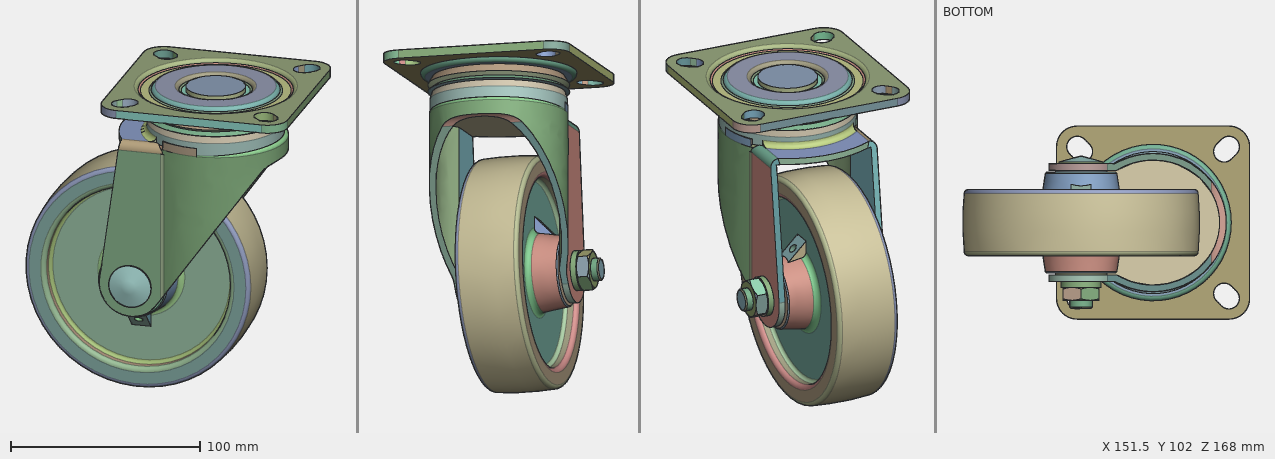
import cadquery as cq
import math


plate_side = 102.0
plate_thickness = 4.5
plate_corner_radius = 11.0
slot_width = 11.0
slot_pitch_near = 75.0
slot_pitch_far = 80.0

dish_depth = 2.5
dish_outer_radius = 43.8
dish_inner_radius = 31.3
pin_recess_radius = 22.2
pin_radius = 15.8
press_round = 2.8
press_bevel = 1.2
press_bevel_depth = 0.5
dish_underside_radius = 41.3
dish_underside_round = 2.4

seal_neck_radius = 35.0
seal_lip_radius = 37.5
seal_lip_z = -11.2
seal_waist_z = -13.0
seal_lower_lip_z = -14.9
seal_bottom_z = -15.5

wheel_radius = 62.5
wheel_width = 35.0
caster_trail = 38.0
total_height = 168.0
tread_round = 2.2
crown_height = 0.7

hub_half_length = 26.6
hub_end_radius = 18.9
hub_root_radius = 20.9
hub_root_fillet = 3.0
hub_edge_chamfer = 0.7
sleeve_radius = 13.6
web_half_thickness = 9.8
rim_lip_radius = 53.1
rim_lip_round = 2.6
rim_foot_fillet = 1.9

lug_width = 10.4
lug_reach = 29.5
lug_root_radius = 19.0
lug_hole_diameter = 4.6
lug_hole_depth = 4.0

sheet = 3.5
arm_inner_y = 27.6
arm_end_radius = 17.0
fork_top_z = -25.0
arm_front_x = -44.0
nose_front_x = -51.0
bend_radius = 4.6
crease_fillet = 4.0
head_radius = 36.4
head_top_radius = 35.3
head_shoulder_z = -19.2
head_fillet = 3.0
skirt_half_width = 36.5
skirt_half_length = 38.6
shoulder_top_z = -22.4
skirt_edge_round = 2.0
skirt_bottom_z = -34.4
skirt_corner_x = 33.7
skirt_corner_fillet = 9.8

bolt_radius = 6.0
bolt_tip_y = 45.2
bolt_tip_chamfer = 0.7
bolt_head_radius = 11.6
bolt_head_rim = 0.9
bolt_head_height = 4.1
nut_across_flats = 19.0
nut_thickness = 6.8
nut_flange_radius = 10.6
nut_flange_thickness = 3.1

axle_x = -caster_trail
axle_z = wheel_radius - total_height
arm_outer_y = arm_inner_y + sheet
fork_ceiling_z = fork_top_z - sheet
crease_x = -skirt_half_length * math.sqrt(1 - (arm_outer_y / skirt_half_width) ** 2)


def revolve_about_swivel(profile):
    """Turn a closed (radius, Z) profile about the swivel axis."""
    return profile.close().revolve(360, (0, 0, 0), (0, 1, 0))


def revolve_about_axle(profile):
    """Turn a closed profile, drawn as (radius, Y) from the axle line, about the axle."""
    turned = profile.close().revolve(360, (0, 0, 0), (0, 1, 0))
    return turned.translate((axle_x, 0, axle_z))


def axle_cylinder(radius, y_start, y_end):
    """Cylinder on the axle line between two Y places."""
    start = cq.Vector(axle_x, y_start, axle_z)
    return cq.Workplane(cq.Solid.makeCylinder(radius, y_end - y_start, start, cq.Vector(0, 1, 0)))


def wall_points(edge_radius, toward):
    """Points of one pressed wall: lip edge, lip middle, lip end and foot.

    The wall runs outwards from the lip edge if toward is +1, inwards if it is -1.
    """
    lip_drop = dish_depth - press_bevel_depth
    quarter_middle = math.sqrt(0.5)
    edge = (edge_radius, 0)
    lip_middle = (edge_radius + toward * press_round * quarter_middle, -lip_drop * (1 - quarter_middle))
    lip_end = (edge_radius + toward * press_round, -lip_drop)
    foot = (edge_radius + toward * (press_round + press_bevel), -dish_depth)
    return edge, lip_middle, lip_end, foot


def make_dish_cut():
    """Ring-shaped pressing around the raised middle of the plate."""
    outer_edge, outer_middle, outer_end, outer_foot = wall_points(dish_outer_radius, -1)
    inner_edge, inner_middle, inner_end, inner_foot = wall_points(dish_inner_radius, 1)
    return revolve_about_swivel(
        cq.Workplane("XZ")
        .moveTo(*outer_edge)
        .threePointArc(outer_middle, outer_end)
        .lineTo(*outer_foot)
        .lineTo(*inner_foot)
        .lineTo(*inner_end)
        .threePointArc(inner_middle, inner_edge)
    )


def make_pin_recess():
    """Ring-shaped recess around the kingpin head."""
    edge, lip_middle, lip_end, foot = wall_points(pin_recess_radius, -1)
    return revolve_about_swivel(
        cq.Workplane("XZ")
        .moveTo(*edge)
        .threePointArc(lip_middle, lip_end)
        .lineTo(*foot)
        .lineTo(pin_radius, -dish_depth)
        .lineTo(pin_radius, 0)
    )


def make_seal():
    dish_bottom_z = -plate_thickness - dish_depth
    return revolve_about_swivel(
        cq.Workplane("XZ")
        .moveTo(0, dish_bottom_z)
        .lineTo(seal_neck_radius, dish_bottom_z)
        .lineTo(seal_lip_radius, seal_lip_z)
        .lineTo(seal_neck_radius, seal_waist_z)
        .lineTo(seal_lip_radius, seal_lower_lip_z)
        .lineTo(head_top_radius, seal_bottom_z)
        .lineTo(0, seal_bottom_z)
    )


def make_plate():
    sheet_body = (
        cq.Workplane("XY")
        .rect(plate_side, plate_side)
        .extrude(-plate_thickness)
        .edges("|Z")
        .fillet(plate_corner_radius)
    )
    underside = (
        cq.Workplane("XY", origin=(0, 0, -plate_thickness))
        .circle(dish_underside_radius)
        .extrude(-dish_depth)
        .faces("<Z")
        .edges()
        .fillet(dish_underside_round)
    )
    plate = sheet_body.union(underside).union(make_seal())
    plate = plate.cut(make_dish_cut()).cut(make_pin_recess())

    slot_radius = (slot_pitch_near + slot_pitch_far) / 4 * math.sqrt(2)
    slot_length = (slot_pitch_far - slot_pitch_near) / 2 * math.sqrt(2) + slot_width
    for corner_angle in (45, 135, 225, 315):
        slot = (
            cq.Workplane("XY")
            .center(slot_radius, 0)
            .slot2D(slot_length, slot_width)
            .extrude(-plate_thickness)
            .rotate((0, 0, 0), (0, 0, 1), corner_angle)
        )
        plate = plate.cut(slot)
    return plate


def plan_block(half_width, half_length, arm_half_width, top_z):
    """Fork plan extruded down: a straight front joined to an elliptical skirt about the swivel."""
    front = (
        cq.Workplane("XY", origin=(0, 0, top_z))
        .rect(total_height, 2 * arm_half_width)
        .extrude(-total_height)
        .translate((-total_height / 2, 0, 0))
    )
    skirt = (
        cq.Workplane("XY", origin=(0, 0, top_z))
        .ellipse(half_length, half_width)
        .extrude(-total_height)
    )
    return front, skirt


def tangent_point(x, z, side):
    """Point where a line from (x, z) touches the round arm end; side is +1 or -1."""
    dx = x - axle_x
    dz = z - axle_z
    angle = math.atan2(dz, dx) + side * math.acos(arm_end_radius / math.hypot(dx, dz))
    return axle_x + arm_end_radius * math.cos(angle), axle_z + arm_end_radius * math.sin(angle)


def make_side_outline():
    """Side outline of the fork below its top face, wide enough in Y for the whole fork."""
    rear_x = skirt_half_length + sheet
    return (
        cq.Workplane("XZ")
        .moveTo(arm_front_x, fork_top_z)
        .lineTo(*tangent_point(arm_front_x, fork_top_z, 1))
        .threePointArc(
            (axle_x, axle_z - arm_end_radius),
            tangent_point(skirt_corner_x, skirt_bottom_z, -1),
        )
        .lineTo(skirt_corner_x, skirt_bottom_z)
        .lineTo(rear_x, skirt_bottom_z)
        .lineTo(rear_x, fork_top_z)
        .close()
        .extrude(plate_side / 2, both=True)
        .edges(cq.selectors.NearestToPointSelector((skirt_corner_x, 0, skirt_bottom_z)))
        .fillet(skirt_corner_fillet)
    )


def make_fork_head():
    """Round head between the seal and the fork top."""
    return revolve_about_swivel(
        cq.Workplane("XZ")
        .moveTo(0, seal_bottom_z)
        .lineTo(head_top_radius, seal_bottom_z)
        .lineTo(head_radius, head_shoulder_z)
        .lineTo(head_radius, fork_ceiling_z)
        .lineTo(0, fork_ceiling_z)
    )


def make_head_flare():
    """Concave fillet from the head down onto the flat front of the fork top."""
    centre_radius = head_radius + head_fillet
    middle = head_fillet * math.sqrt(0.5)
    flare = revolve_about_swivel(
        cq.Workplane("XZ")
        .moveTo(head_radius, fork_top_z)
        .lineTo(head_radius, fork_top_z + head_fillet)
        .threePointArc(
            (centre_radius - middle, fork_top_z + head_fillet - middle),
            (centre_radius, fork_top_z),
        )
    )
    front_width = 2 * (arm_outer_y - bend_radius)
    front = (
        cq.Workplane("XY", origin=(0, 0, fork_top_z))
        .rect(plate_side, front_width)
        .extrude(head_fillet)
        .translate((-plate_side / 2, 0, 0))
    )
    return flare.intersect(front)


def make_fork_nose():
    """Bowed front edge of the fork top."""
    half_width = arm_outer_y - bend_radius
    return (
        cq.Workplane("XY", origin=(0, 0, fork_top_z))
        .moveTo(-head_radius, half_width)
        .lineTo(arm_front_x, half_width)
        .threePointArc((nose_front_x, 0), (arm_front_x, -half_width))
        .lineTo(-head_radius, -half_width)
        .close()
        .extrude(-sheet)
    )


def make_skirt_shoulder():
    """Raised, square-edged stretch of the skirt beside the front half of the head."""
    window = (
        cq.Workplane("XY", origin=(crease_x / 2, 0, fork_ceiling_z))
        .rect(-crease_x, plate_side)
        .extrude(shoulder_top_z - fork_ceiling_z)
    )
    return (
        cq.Workplane("XY", origin=(0, 0, fork_ceiling_z))
        .ellipse(skirt_half_length, skirt_half_width)
        .extrude(shoulder_top_z - fork_ceiling_z)
        .intersect(window)
    )


def make_fork():
    plan = (skirt_half_width, skirt_half_length, arm_outer_y)
    front, skirt = plan_block(*plan, fork_top_z)
    front = front.edges("|X and >Z").fillet(bend_radius)
    skirt = skirt.faces(">Z").edges().fillet(skirt_edge_round)

    lower_front, lower_skirt = plan_block(*plan, fork_top_z - bend_radius)
    lower = lower_front.union(lower_skirt)
    for side in (-1, 1):
        crease_place = (crease_x, side * arm_outer_y, axle_z)
        lower = lower.edges(cq.selectors.NearestToPointSelector(crease_place)).fillet(crease_fillet)
    outside = front.union(skirt).union(lower)

    inner_front, inner_skirt = plan_block(
        skirt_half_width - sheet, skirt_half_length - sheet, arm_inner_y, fork_ceiling_z
    )
    shell = outside.cut(inner_front).cut(inner_skirt)
    fork = shell.intersect(make_side_outline())
    fork = fork.union(make_fork_nose()).union(make_fork_head())
    fork = fork.union(make_head_flare()).union(make_skirt_shoulder())
    return fork.cut(axle_cylinder(bolt_radius, -plate_side / 2, plate_side / 2))


def make_tread():
    """Crowned tread ring, outside the rim lips, with rounded shoulders."""
    half_width = wheel_width / 2
    shoulder_radius = wheel_radius - crown_height
    shoulder_y = half_width - tread_round
    side_radius = shoulder_radius - tread_round
    round_middle = tread_round * math.sqrt(0.5)
    return revolve_about_axle(
        cq.Workplane("XY")
        .moveTo(rim_lip_radius, -half_width)
        .lineTo(side_radius, -half_width)
        .threePointArc(
            (side_radius + round_middle, -shoulder_y - round_middle),
            (shoulder_radius, -shoulder_y),
        )
        .threePointArc((wheel_radius, 0), (shoulder_radius, shoulder_y))
        .threePointArc(
            (side_radius + round_middle, shoulder_y + round_middle),
            (side_radius, half_width),
        )
        .lineTo(rim_lip_radius, half_width)
    )


def half_core():
    """The +Y half of the wheel inside the tread: rim wall, web, hub and axle sleeve."""
    half_width = wheel_width / 2
    wall_radius = rim_lip_radius - rim_lip_round
    lip_middle = rim_lip_round * math.sqrt(0.5)
    lip_y = half_width - rim_lip_round
    foot_middle = rim_foot_fillet * math.sqrt(0.5)
    hub_middle = hub_root_fillet * math.sqrt(0.5)
    hub_centre_radius = hub_root_radius + hub_root_fillet
    hub_centre_y = web_half_thickness + hub_root_fillet
    foot_y = web_half_thickness + rim_foot_fillet
    foot_centre_radius = wall_radius - rim_foot_fillet
    return revolve_about_axle(
        cq.Workplane("XY")
        .moveTo(bolt_radius, 0)
        .lineTo(rim_lip_radius, 0)
        .lineTo(rim_lip_radius, half_width)
        .threePointArc(
            (rim_lip_radius - lip_middle, lip_y + lip_middle),
            (wall_radius, lip_y),
        )
        .lineTo(wall_radius, foot_y)
        .threePointArc(
            (foot_centre_radius + foot_middle, foot_y - foot_middle),
            (foot_centre_radius, web_half_thickness),
        )
        .lineTo(hub_centre_radius, web_half_thickness)
        .threePointArc(
            (hub_centre_radius - hub_middle, hub_centre_y - hub_middle),
            (hub_root_radius, hub_centre_y),
        )
        .lineTo(hub_end_radius, hub_half_length - hub_edge_chamfer)
        .lineTo(hub_end_radius - hub_edge_chamfer, hub_half_length)
        .lineTo(sleeve_radius, hub_half_length)
        .lineTo(sleeve_radius, arm_inner_y)
        .lineTo(bolt_radius, arm_inner_y)
    )


def make_lug():
    """Grease lug under the hub on the -Y side: a wedge with a 45 degree face."""
    rise = lug_reach - lug_root_radius
    return (
        cq.Workplane("YZ", origin=(axle_x, 0, axle_z))
        .moveTo(0, -lug_reach)
        .lineTo(-web_half_thickness, -lug_reach)
        .lineTo(-web_half_thickness - rise, -lug_root_radius)
        .lineTo(0, -lug_root_radius)
        .close()
        .extrude(lug_width / 2, both=True)
    )


def make_lug_hole():
    """Blind hole square to the sloping face of the lug."""
    hole_radius = (lug_reach + lug_root_radius) / 2
    hole_y = -web_half_thickness - (lug_reach - lug_root_radius) / 2
    start = cq.Vector(axle_x, hole_y, axle_z - hole_radius)
    return cq.Workplane(
        cq.Solid.makeCylinder(lug_hole_diameter / 2, lug_hole_depth, start, cq.Vector(0, 1, 1))
    )


def make_wheel():
    near_half = half_core().mirror("XZ").union(make_lug()).cut(make_lug_hole())
    axis_start = (axle_x, 0, axle_z)
    axis_end = (axle_x + 1, 0, axle_z)
    far_half = near_half.rotate(axis_start, axis_end, 180)
    return near_half.union(far_half).union(make_tread())


def make_bolt():
    """Bolt with a shallow conical head on the -Y side."""
    head_seat_y = -arm_outer_y
    head_rim_y = head_seat_y - bolt_head_rim
    head_top_y = head_seat_y - bolt_head_height
    return revolve_about_axle(
        cq.Workplane("XY")
        .moveTo(0, head_top_y)
        .lineTo(bolt_head_radius, head_rim_y)
        .lineTo(bolt_head_radius, head_seat_y)
        .lineTo(bolt_radius, head_seat_y)
        .lineTo(bolt_radius, bolt_tip_y - bolt_tip_chamfer)
        .lineTo(bolt_radius - bolt_tip_chamfer, bolt_tip_y)
        .lineTo(0, bolt_tip_y)
    )


def make_nut():
    hex_start_y = arm_outer_y + nut_flange_thickness
    hex_end_y = hex_start_y + nut_thickness
    across_corners = nut_across_flats / math.cos(math.pi / 6)
    corner_radius = across_corners / 2
    flat_radius = nut_across_flats / 2
    chamfer_drop = (corner_radius - flat_radius) * math.tan(math.pi / 6)
    hexagon = (
        cq.Workplane("XZ", origin=(axle_x, hex_start_y, axle_z))
        .transformed(rotate=(0, 0, 90))
        .polygon(6, across_corners)
        .extrude(-nut_thickness)
    )
    chamfer_envelope = revolve_about_axle(
        cq.Workplane("XY")
        .moveTo(0, hex_start_y)
        .lineTo(flat_radius, hex_start_y)
        .lineTo(corner_radius, hex_start_y + chamfer_drop)
        .lineTo(corner_radius, hex_end_y - chamfer_drop)
        .lineTo(flat_radius, hex_end_y)
        .lineTo(0, hex_end_y)
    )
    flange = axle_cylinder(nut_flange_radius, arm_outer_y, hex_start_y)
    nut = hexagon.intersect(chamfer_envelope).union(flange)
    return nut.cut(axle_cylinder(bolt_radius, arm_outer_y, hex_end_y))


plate = make_plate()
fork = make_fork()
wheel = make_wheel()
bolt = make_bolt()
nut = make_nut()

result = cq.Compound.makeCompound([plate.val(), fork.val(), wheel.val(), bolt.val(), nut.val()])